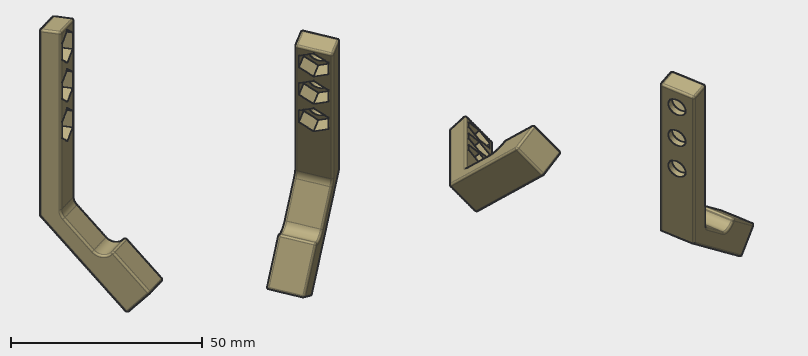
import cadquery as cq
import math

height = 76.7
width = 10.5
arm_thickness = 6.0
neck_thickness = 5.1
pad_thickness = 9.3
pad_length = 14.8
knee_height = 24.15
foot_slope = 45.0
edge_radius = 0.6
side_radius = 0.6
knee_radius = 3.05
step_radius = 3.4

hole_diameter = 5.3
nut_width = 8.0
nut_depth = 4.05
nut_sides = 6
hole_count = 3
hole_pitch = 11.0
top_hole_drop = 6.0

slope = math.radians(foot_slope)
foot_length = knee_height / math.sin(slope)


def foot_point(along, depth):
    """XZ point at a distance along the outer foot face and a depth into the foot."""
    x = along * math.cos(slope) + depth * math.sin(slope)
    z = knee_height - along * math.sin(slope) + depth * math.cos(slope)
    return x, z


def make_body():
    """Bent bar with a straight arm, a thin neck and a thick pad."""
    step_along = foot_length - pad_length
    inner_knee_z = knee_height + neck_thickness / math.cos(slope) - arm_thickness * math.tan(slope)
    inner_knee = (arm_thickness, inner_knee_z)
    step_foot = foot_point(step_along, neck_thickness)
    profile = [
        (0, knee_height),
        foot_point(foot_length, 0),
        foot_point(foot_length, pad_thickness),
        foot_point(step_along, pad_thickness),
        step_foot,
        inner_knee,
        (arm_thickness, height),
        (0, height),
    ]
    body = cq.Workplane("XZ").polyline(profile).close().extrude(width / 2, both=True)
    for (x, z), radius in ((inner_knee, knee_radius), (step_foot, step_radius)):
        corner = cq.selectors.NearestToPointSelector((x, 0, z))
        body = body.edges("|Y").edges(corner).fillet(radius)
    return body


def round_edges(body):
    """Round the sharp corners across the width, except the outer knee, then both side outlines."""
    sharp_corners = [
        (0, height),
        (arm_thickness, height),
        foot_point(foot_length, 0),
        foot_point(foot_length, pad_thickness),
        foot_point(foot_length - pad_length, pad_thickness),
    ]
    for x, z in sharp_corners:
        corner = cq.selectors.NearestToPointSelector((x, 0, z))
        body = body.edges("|Y").edges(corner).fillet(edge_radius)
    return body.faces("<Y or >Y").edges().fillet(side_radius)


def cut_holes(body):
    """Column of through holes along X, each with a hexagonal nut pocket in the inner arm face."""
    centers = [(0, height - top_hole_drop - i * hole_pitch) for i in range(hole_count)]
    holes = cq.Workplane("YZ").pushPoints(centers).circle(hole_diameter / 2).extrude(arm_thickness)

    corner_radius = nut_width / math.sqrt(3)
    hexagon = []
    for i in range(nut_sides):
        angle = math.pi / 2 + i * 2 * math.pi / nut_sides
        hexagon.append((corner_radius * math.cos(angle), corner_radius * math.sin(angle)))
    pocket_floor = cq.Workplane("YZ").workplane(offset=arm_thickness - nut_depth)
    for y, z in centers:
        outline = [(y + dy, z + dz) for dy, dz in hexagon]
        holes = holes.union(pocket_floor.polyline(outline).close().extrude(nut_depth))
    return body.cut(holes)


result = cut_holes(round_edges(make_body()))